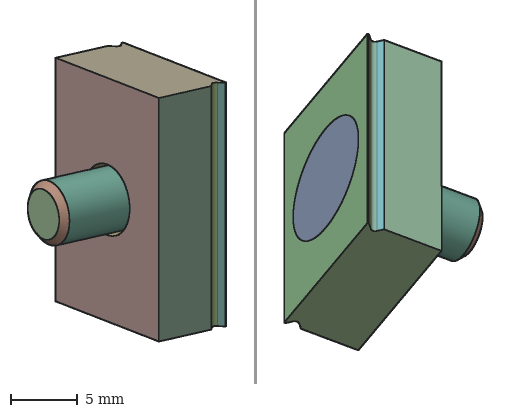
import cadquery as cq

block_height = 19.05
block_width = 12.7
block_depth = 6.35

groove_back_offset = 0.78
groove_center_y = block_depth - groove_back_offset
groove_half_mouth = 0.65
groove_half_root = 0.25
groove_flank_depth = 0.44
groove_depth = 0.55

pin_radius = 2.5
pin_projection = 6.0
tip_chamfer = 0.55
clearance_radius = 2.76
head_radius = 2 * pin_radius

head_start_y = block_depth - (head_radius - pin_radius)
countersink_start_y = block_depth - (head_radius - clearance_radius)


def revolve_about_y(profile):
    """Revolve a closed profile drawn as (radius, y) about the Y axis."""
    return profile.close().revolve(360, (0, 0, 0), (0, 1, 0))


def make_groove(side):
    """Groove cutter for the side face at X = side * block_width / 2."""
    face_x = side * block_width / 2
    flank_x = face_x - side * groove_flank_depth
    root_x = face_x - side * groove_depth
    return (
        cq.Workplane("XY", origin=(0, 0, -block_height / 2))
        .moveTo(face_x, groove_center_y - groove_half_mouth)
        .lineTo(flank_x, groove_center_y - groove_half_root)
        .threePointArc((root_x, groove_center_y), (flank_x, groove_center_y + groove_half_root))
        .lineTo(face_x, groove_center_y + groove_half_mouth)
        .close()
        .extrude(block_height)
    )


def make_countersunk_hole():
    """Clearance hole through the block, countersunk from the back face."""
    return revolve_about_y(
        cq.Workplane("XY")
        .moveTo(0, 0)
        .lineTo(clearance_radius, 0)
        .lineTo(clearance_radius, countersink_start_y)
        .lineTo(head_radius, block_depth)
        .lineTo(0, block_depth)
    )


def make_block():
    block = cq.Workplane("XY").box(block_width, block_depth, block_height, centered=(True, False, True))
    for side in (-1, 1):
        block = block.cut(make_groove(side))
    return block.cut(make_countersunk_hole())


def make_pin():
    """Pin with a chamfered tip in front of the block and a conical head inside it."""
    return revolve_about_y(
        cq.Workplane("XY")
        .moveTo(0, -pin_projection)
        .lineTo(pin_radius - tip_chamfer, -pin_projection)
        .lineTo(pin_radius, tip_chamfer - pin_projection)
        .lineTo(pin_radius, head_start_y)
        .lineTo(head_radius, block_depth)
        .lineTo(0, block_depth)
    )


block = make_block()
pin = make_pin()
result = cq.Compound.makeCompound([block.val(), pin.val()])